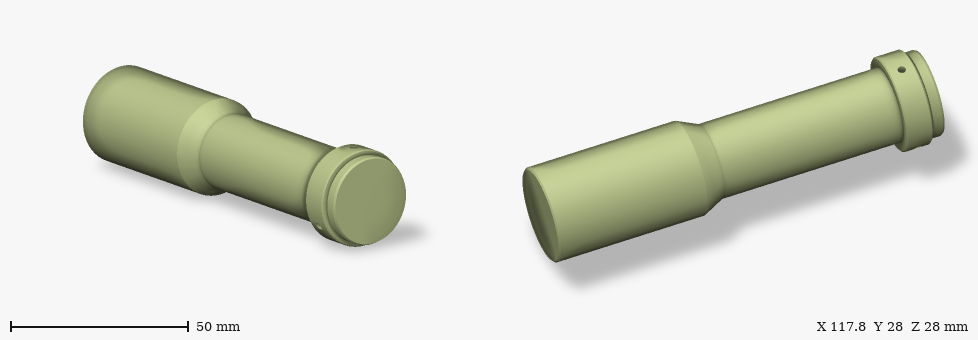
import cadquery as cq

length = 117.8
handle_end = 45.1
taper_end = 51.5
collar_start = 105.8
collar_end = 113.7
ring_start = 114.4

handle_radius = 14.0
tube_radius = 11.1
groove_radius = 11.9
ring_radius = 12.7

edge_chamfer = 0.5
collar_chamfer = 0.4
ring_chamfer_length = 0.7
ring_chamfer_depth = 0.4

hole_count = 3
hole_diameter = 2.4
hole_depth = 2.8
hole_tip_depth = 0.7
hole_x = 109.8


def cylinder(start, end, radius):
    """Solid cylinder along X between two stations."""
    return cq.Workplane("YZ", origin=(start, 0, 0)).circle(radius).extrude(end - start)


def make_taper():
    """Cone that blends the handle into the tube."""
    profile = [
        (handle_end, 0),
        (handle_end, handle_radius),
        (taper_end, tube_radius),
        (taper_end, 0),
    ]
    return cq.Workplane("XY").polyline(profile).close().revolve(360, (0, 0), (1, 0))


def make_ring():
    """End ring with its outer rim chamfered."""
    profile = [
        (ring_start, 0),
        (ring_start, ring_radius),
        (length - ring_chamfer_length, ring_radius),
        (length, ring_radius - ring_chamfer_depth),
        (length, 0),
    ]
    return cq.Workplane("XY").polyline(profile).close().revolve(360, (0, 0), (1, 0))


def make_hole(angle):
    """Radial drilled hole with a pointed bottom, turned about X from the top."""
    hole_radius = hole_diameter / 2
    floor_height = handle_radius - hole_depth
    profile = [
        (hole_x, floor_height - hole_tip_depth),
        (hole_x + hole_radius, floor_height),
        (hole_x + hole_radius, handle_radius + hole_radius),
        (hole_x, handle_radius + hole_radius),
    ]
    drill = cq.Workplane("XZ").polyline(profile).close().revolve(360, (hole_x, 0), (hole_x, 1))
    return drill.rotate((0, 0, 0), (1, 0, 0), angle)


handle = cylinder(0, handle_end, handle_radius).faces("<X").chamfer(edge_chamfer)
tube = cylinder(taper_end, collar_start, tube_radius)
collar = cylinder(collar_start, collar_end, handle_radius).faces("<X or >X").chamfer(collar_chamfer)
groove_core = cylinder(collar_end, ring_start, groove_radius)

result = handle.union(make_taper()).union(tube).union(collar).union(groove_core).union(make_ring())
for index in range(hole_count):
    result = result.cut(make_hole(index * 360 / hole_count))
result = result.translate((-length / 2, 0, 0))